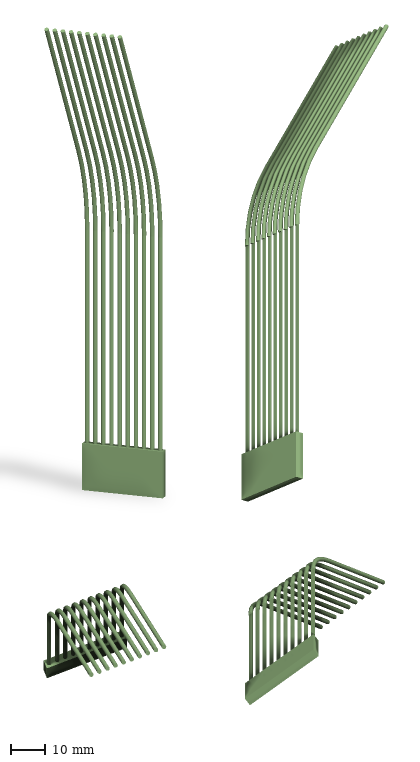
import cadquery as cq
import math

BLOCK_WIDTH = 25.2
BLOCK_DEPTH = 2.54
BLOCK_HEIGHT = 14.2

PIN_COUNT = 10
PIN_PITCH = 2.54
PIN_DIAMETER = 1.3
PIN_RADIUS = PIN_DIAMETER / 2
STEM_LENGTH = 65.0

OVERALL_HEIGHT = 149.74
BEND_RADIUS = 50.0
BEND_ANGLE = math.radians(31.24)
BEND_START_Z = BLOCK_HEIGHT + STEM_LENGTH
BEND_RISE = BEND_RADIUS * math.sin(BEND_ANGLE)
BEND_OFFSET = BEND_RADIUS * (1 - math.cos(BEND_ANGLE))

TIP_RISE = OVERALL_HEIGHT - BEND_START_Z - PIN_RADIUS * math.sin(BEND_ANGLE)
TIP_OFFSET = BEND_OFFSET + (TIP_RISE - BEND_RISE) * math.tan(BEND_ANGLE)


def make_block():
    """Rectangular block with its base on Z = 0."""
    return cq.Workplane("XY").box(BLOCK_WIDTH, BLOCK_DEPTH, BLOCK_HEIGHT, centered=(True, True, False))


def make_stem(x):
    """Vertical half-round stem, rounded toward -Y and flat on the +Y side."""
    return (
        cq.Workplane("XY", origin=(x, 0, BLOCK_HEIGHT))
        .moveTo(-PIN_RADIUS, 0)
        .threePointArc((0, -PIN_RADIUS), (PIN_RADIUS, 0))
        .close()
        .extrude(STEM_LENGTH)
    )


def make_bent_end(x):
    """Full-round bend and inclined straight length, swept along the pin axis."""
    half_angle = BEND_ANGLE / 2
    bend_middle = (
        -BEND_RADIUS * (1 - math.cos(half_angle)),
        BEND_RADIUS * math.sin(half_angle),
    )
    axis = (
        cq.Workplane("YZ", origin=(x, 0, BEND_START_Z))
        .moveTo(0, 0)
        .threePointArc(bend_middle, (-BEND_OFFSET, BEND_RISE))
        .lineTo(-TIP_OFFSET, TIP_RISE)
    )
    return cq.Workplane("XY", origin=(x, 0, BEND_START_Z)).circle(PIN_RADIUS).sweep(axis)


result = make_block()
for index in range(PIN_COUNT):
    pin_x = (index - (PIN_COUNT - 1) / 2) * PIN_PITCH
    result = result.union(make_stem(pin_x)).union(make_bent_end(pin_x))